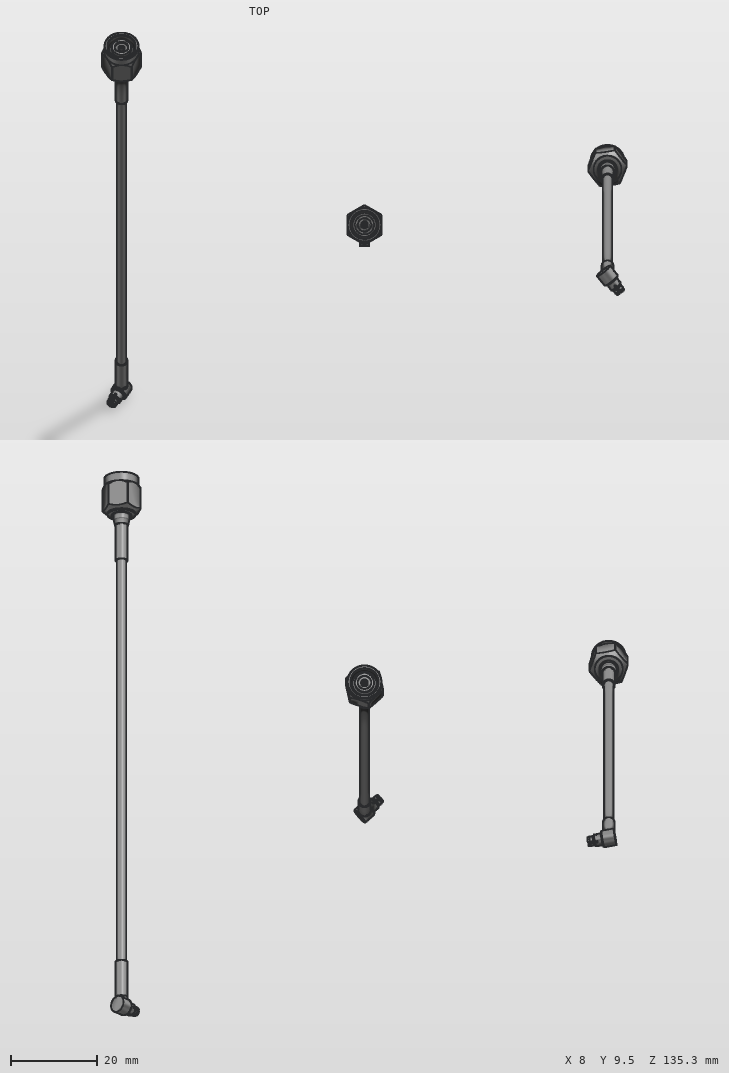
import cadquery as cq
import math

TOP = 135.3
OVERALL_DEPTH = 9.5

CABLE_DIAMETER = 2.3
SLEEVE_DIAMETER = 2.8
SLEEVE_LENGTH = 8.9
UPPER_SLEEVE_TOP = 123.4

NUT_FLATS = 8.0
NUT_CORNER_DIAMETER = 9.0
NUT_BOTTOM = 126.0
NUT_FOOT_DIAMETER = 6.5
NUT_FOOT_HEIGHT = 0.4
NUT_TAPER_HEIGHT = 1.0
NUT_HEX_TOP = 133.1
NUT_HEX_CHAMFER = 0.7
NUT_COLLAR_OVERLAP = 1.4
NUT_RIM_CHAMFER = 0.1
NUT_BORE_DIAMETER = 6.5
NUT_MOUTH_DIAMETER = 6.6
NUT_MOUTH_DEPTH = 0.4
NUT_FLOOR = NUT_BOTTOM + 1.2

SHELL_DIAMETER = 4.5
SHELL_TOP = TOP - 0.4
SHELL_BORE_DIAMETER = 3.1
FLANGE_DIAMETER = 5.5
FLANGE_TOP = TOP - 1.5
NECK_DIAMETER = 3.7
NECK_TIP_DIAMETER = 3.1
NECK_TAPER_TOP = UPPER_SLEEVE_TOP + 1.2

INSULATOR_TOP = SHELL_TOP - 0.5
INSULATOR_RECESS_DIAMETER = 1.6
INSULATOR_RECESS_DEPTH = 0.5
PIN_DIAMETER = 0.89
PIN_TOP = TOP - 0.3
PIN_TIP_CHAMFER = 0.3

ELBOW_DIAMETER = 3.9
ELBOW_AXIS_Z = ELBOW_DIAMETER / 2
ELBOW_BACK = 1.5
ELBOW_FRONT = -1.6
ELBOW_CHAMFER = 0.3
SPIGOT_DIAMETER = 2.8
SPIGOT_FRONT = -3.2
PLUG_DIAMETER = 2.2
PLUG_FRONT = NUT_CORNER_DIAMETER / 2 - OVERALL_DEPTH
PLUG_BORE_DIAMETER = 1.6
PLUG_BORE_BACK = -2.7
SNAP_RING_DIAMETER = 2.3
SNAP_RING_BACK = SPIGOT_FRONT - 0.4
SNAP_RING_FRONT = PLUG_FRONT + 0.5
SLOT_WIDTH = 0.4
CONTACT_DIAMETER = 0.64
CONTACT_FRONT = PLUG_FRONT + 0.4

LOWER_SLEEVE_BOTTOM = ELBOW_DIAMETER + 0.1


def upright_rod(diameter, bottom, top):
    """Cylinder on the cable axis."""
    return cq.Workplane("XY").workplane(offset=bottom).circle(diameter / 2).extrude(top - bottom)


def plug_rod(diameter, back, front):
    """Cylinder on the axis of the right-angle connector."""
    plane = cq.Plane(origin=(0, back, ELBOW_AXIS_Z), xDir=(1, 0, 0), normal=(0, -1, 0))
    return cq.Workplane(plane).circle(diameter / 2).extrude(back - front)


def turned(profile):
    """Solid of revolution about the cable axis from (radius, z) points."""
    return cq.Workplane("XZ").polyline(profile).close().revolve(360, (0, 0, 0), (0, 1, 0))


def make_nut():
    hexagon = (
        cq.Workplane("XY")
        .workplane(offset=NUT_BOTTOM)
        .transformed(rotate=(0, 0, 90))
        .polygon(6, NUT_FLATS / math.cos(math.pi / 6))
        .extrude(NUT_HEX_TOP - NUT_BOTTOM)
    )
    foot_radius = NUT_FOOT_DIAMETER / 2
    corner_radius = NUT_CORNER_DIAMETER / 2
    foot_top = NUT_BOTTOM + NUT_FOOT_HEIGHT
    envelope = turned([
        (0, NUT_BOTTOM),
        (foot_radius, NUT_BOTTOM),
        (foot_radius, foot_top),
        (corner_radius, foot_top + NUT_TAPER_HEIGHT),
        (corner_radius, NUT_HEX_TOP - NUT_HEX_CHAMFER),
        (NUT_FLATS / 2, NUT_HEX_TOP),
        (0, NUT_HEX_TOP),
    ])
    collar = upright_rod(NUT_FLATS, NUT_HEX_TOP - NUT_COLLAR_OVERLAP, TOP)
    collar = collar.faces(">Z").chamfer(NUT_RIM_CHAMFER)
    return (
        hexagon.intersect(envelope)
        .union(collar)
        .cut(upright_rod(SHELL_DIAMETER, NUT_BOTTOM, TOP))
        .cut(upright_rod(NUT_BORE_DIAMETER, NUT_FLOOR, TOP))
        .cut(upright_rod(NUT_MOUTH_DIAMETER, TOP - NUT_MOUTH_DEPTH, TOP))
    )


def make_shell():
    neck = turned([
        (0, UPPER_SLEEVE_TOP),
        (NECK_TIP_DIAMETER / 2, UPPER_SLEEVE_TOP),
        (NECK_DIAMETER / 2, NECK_TAPER_TOP),
        (NECK_DIAMETER / 2, NUT_BOTTOM),
        (0, NUT_BOTTOM),
    ])
    return (
        upright_rod(SHELL_DIAMETER, NUT_BOTTOM, SHELL_TOP)
        .union(upright_rod(FLANGE_DIAMETER, NUT_FLOOR, FLANGE_TOP))
        .union(neck)
        .cut(upright_rod(SHELL_BORE_DIAMETER, NUT_FLOOR, SHELL_TOP))
    )


def make_insulator():
    recess_floor = INSULATOR_TOP - INSULATOR_RECESS_DEPTH
    return (
        upright_rod(SHELL_BORE_DIAMETER, NUT_FLOOR, INSULATOR_TOP)
        .cut(upright_rod(PIN_DIAMETER, NUT_FLOOR, INSULATOR_TOP))
        .cut(upright_rod(INSULATOR_RECESS_DIAMETER, recess_floor, INSULATOR_TOP))
    )


def make_pin():
    return upright_rod(PIN_DIAMETER, NUT_FLOOR, PIN_TOP).faces(">Z").chamfer(PIN_TIP_CHAMFER)


def make_cable():
    return upright_rod(CABLE_DIAMETER, LOWER_SLEEVE_BOTTOM, UPPER_SLEEVE_TOP)


def make_sleeve(bottom):
    top = bottom + SLEEVE_LENGTH
    return upright_rod(SLEEVE_DIAMETER, bottom, top).cut(upright_rod(CABLE_DIAMETER, bottom, top))


def make_elbow():
    barrel = plug_rod(ELBOW_DIAMETER, ELBOW_BACK, ELBOW_FRONT).faces("<Y").chamfer(ELBOW_CHAMFER)
    seat = upright_rod(SLEEVE_DIAMETER, ELBOW_AXIS_Z, LOWER_SLEEVE_BOTTOM)
    elbow = (
        barrel.union(seat)
        .union(plug_rod(SPIGOT_DIAMETER, ELBOW_FRONT, SPIGOT_FRONT))
        .union(plug_rod(PLUG_DIAMETER, SPIGOT_FRONT, PLUG_FRONT))
        .union(plug_rod(SNAP_RING_DIAMETER, SNAP_RING_BACK, SNAP_RING_FRONT))
        .cut(plug_rod(PLUG_BORE_DIAMETER, PLUG_BORE_BACK, PLUG_FRONT))
    )
    slot_length = PLUG_BORE_BACK - PLUG_FRONT
    slot = (
        cq.Workplane("XY")
        .box(ELBOW_DIAMETER, slot_length, SLOT_WIDTH)
        .translate((0, PLUG_FRONT + slot_length / 2, ELBOW_AXIS_Z))
    )
    axis_start = (0, 0, ELBOW_AXIS_Z)
    axis_end = (0, 1, ELBOW_AXIS_Z)
    for angle in (0, 90):
        elbow = elbow.cut(slot.rotate(axis_start, axis_end, angle))
    return elbow.union(plug_rod(CONTACT_DIAMETER, ELBOW_FRONT, CONTACT_FRONT))


nut = make_nut()
shell = make_shell()
insulator = make_insulator()
pin = make_pin()
cable = make_cable()
sleeves = [
    make_sleeve(bottom).val()
    for bottom in (LOWER_SLEEVE_BOTTOM, UPPER_SLEEVE_TOP - SLEEVE_LENGTH)
]
elbow = make_elbow()

result = cq.Compound.makeCompound([
    nut.val(),
    shell.val(),
    insulator.val(),
    pin.val(),
    cable.val(),
    *sleeves,
    elbow.val(),
])